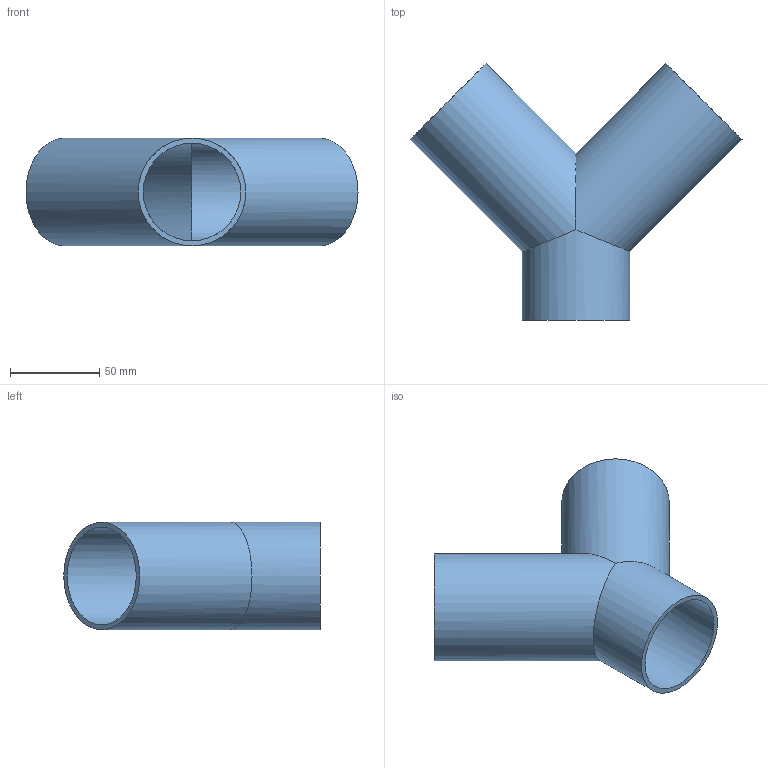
import cadquery as cq
import math

outer_diameter = 60.33
inner_diameter = 54.79
inlet_length = 50.8
branch_length = 101.6
branch_angle = 45.0


def cylinder_from_junction(diameter, length, angle):
    """Cylinder starting at the origin, its axis turned by angle from +Y towards +X."""
    turn = math.radians(angle)
    direction = cq.Vector(math.sin(turn), math.cos(turn), 0)
    return cq.Workplane(cq.Solid.makeCylinder(diameter / 2, length, cq.Vector(0, 0, 0), direction))


def three_way_cylinders(diameter):
    """Inlet and both branches joined into one solid of a common diameter."""
    joined = cylinder_from_junction(diameter, inlet_length, 180.0)
    for angle in (branch_angle, -branch_angle):
        joined = joined.union(cylinder_from_junction(diameter, branch_length, angle))
    return joined


outer_body = three_way_cylinders(outer_diameter)
bore = three_way_cylinders(inner_diameter)
result = outer_body.cut(bore)